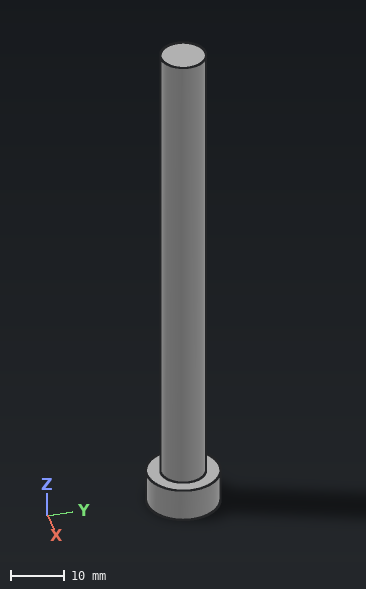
import cadquery as cq

total_length = 100.0
head_diameter = 14.0
head_height = 6.6
shaft_diameter = 8.6

head = cq.Workplane("XY").circle(head_diameter / 2).extrude(head_height)
shaft = cq.Workplane("XY").circle(shaft_diameter / 2).extrude(total_length)

result = head.union(shaft)